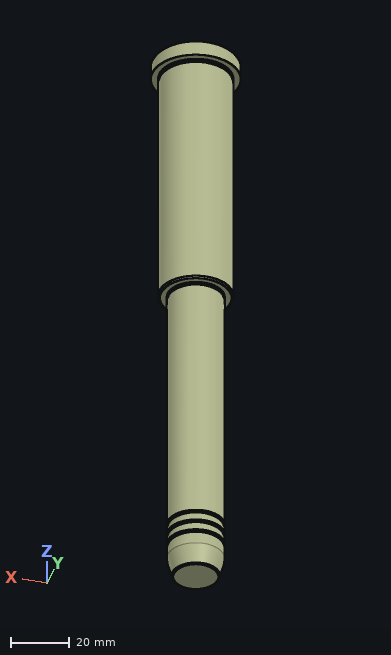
import cadquery as cq

total_length = 211.0

head_radius = 31.0 / 2
head_height = 6.0
head_chamfer = 0.5

body_radius = 26.0 / 2
body_length = 90.0
body_chamfer = 0.6

pin_radius = 20.0 / 2

groove_width = 1.0
groove_depth = 0.32
head_relief_width = 1.3
ring_groove_count = 3
ring_groove_pitch = 4.0
lowest_ring_groove_z = 12.5

tip_height = 7.4
tip_radius = 8.2
tip_bulge = 0.25
tip_chamfer = 0.5

head_bottom = total_length - head_height
body_bottom = head_bottom - body_length


def cylinder(radius, bottom, top):
    """Solid cylinder on the Z axis between two heights."""
    return cq.Workplane("XY").workplane(offset=bottom).circle(radius).extrude(top - bottom)


def groove_cutter(shaft_radius, center_z, width=groove_width):
    """Ring with a diamond section that cuts a V groove into a shaft."""
    diamond = (
        cq.Workplane("XZ")
        .moveTo(shaft_radius, center_z - width / 2)
        .lineTo(shaft_radius + groove_depth, center_z)
        .lineTo(shaft_radius, center_z + width / 2)
        .lineTo(shaft_radius - groove_depth, center_z)
        .close()
    )
    return diamond.revolve(360, (0, 0, 0), (0, 1, 0))


def make_pin():
    """Slim pin with its bulged, tapered tip, revolved about Z."""
    bulge_point = ((pin_radius + tip_radius) / 2 + tip_bulge, (tip_height + tip_chamfer) / 2)
    profile = (
        cq.Workplane("XZ")
        .moveTo(0, 0)
        .lineTo(tip_radius - tip_chamfer, 0)
        .lineTo(tip_radius, tip_chamfer)
        .threePointArc(bulge_point, (pin_radius, tip_height))
        .lineTo(pin_radius, body_bottom)
        .lineTo(0, body_bottom)
        .close()
    )
    return profile.revolve(360, (0, 0, 0), (0, 1, 0))


head = cylinder(head_radius, head_bottom, total_length).faces(">Z").edges().chamfer(head_chamfer)
body = cylinder(body_radius, body_bottom, head_bottom).faces("<Z").edges().chamfer(body_chamfer)

body = body.cut(groove_cutter(body_radius, head_bottom - head_relief_width / 2, head_relief_width))

pin = make_pin().cut(groove_cutter(pin_radius, body_bottom - groove_width / 2))
for index in range(ring_groove_count):
    pin = pin.cut(groove_cutter(pin_radius, lowest_ring_groove_z + index * ring_groove_pitch))

result = pin.union(body).union(head)